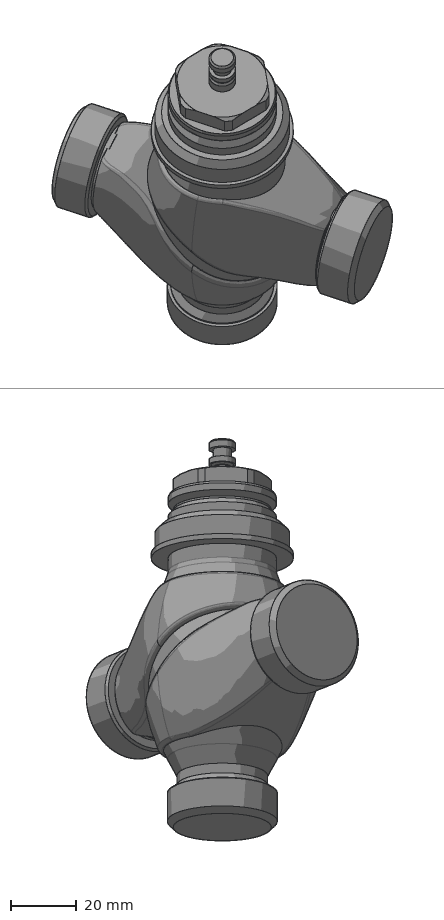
import cadquery as cq
import math


top_z = 72.4
bottom_z = -50.1
port_face_x = 50.0

port_radius = 16.7
port_inner_x = 37.7
port_outer_chamfer = 1.6
port_inner_chamfer = 0.7
port_neck_radius = 13.4

bottom_port_radius = 16.8
bottom_port_top_z = -39.3
bottom_port_chamfer = 1.8
bottom_neck_radius = 13.8

belly_radius = 24.4
belly_half_height = 42.3
groove_depth = 1.6
lobe_flat_z = 25.7
lobe_end_x = 36.8
arm_end_radius = 14.2
lobe_edge_fillet = 1.5
bonnet_radius = 16.5

nut_radius = 20.6
nut_chamfer = 2.1
nut_top_z = 45.3
nut_flange_radius = 21.7
nut_flange_z = (35.3, 36.9)
collar_top_z = 55.2
hex_top_z = 60.5
hex_across_flats = 27.2
hex_corner_radius = 15.1
hex_chamfer = 1.2
hex_chamfer_height = 0.6

stem_radius = 4.0
stem_neck_radius = 2.8
stem_chamfer = 0.6
stem_ring_neck_radius = 2.5

joint_tolerance = 0.002


def turned(points):
    """Solid of revolution about Z from (radius, z) points listed bottom to top."""
    outline = [(0, points[0][1])] + points + [(0, points[-1][1])]
    return cq.Workplane("XZ").polyline(outline).close().revolve(360, (0, 0), (0, 1))


def belly(radius, half_height):
    """Upright ellipsoid cut off at the flat top and bottom of the lobes."""
    half_ellipse = (
        cq.Workplane("XZ")
        .moveTo(0, -half_height)
        .ellipseArc(radius, half_height, -90, 90, startAtCurrent=True)
        .close()
    )
    flats = cq.Workplane("XY").box(2 * belly_radius + 2.5, 2 * belly_radius + 2.5, 2 * lobe_flat_z)
    return half_ellipse.revolve(360, (0, 0), (0, 1)).intersect(flats)


def arm():
    """Loft from the belly section at x = 0 out to the round end by the +X port."""
    stations = [
        (0, 0, belly_radius, belly_half_height),
        (7.4, 3.0, 23.3, 35.5),
        (15.9, 6.1, 20.3, 27.0),
        (25.7, 3.9, 16.9, 22.2),
        (lobe_end_x, 0, arm_end_radius, 15.0),
    ]
    sections = cq.Workplane("YZ")
    last_x = 0
    last_z = 0
    for x, z, half_width, half_height in stations:
        sections = (
            sections.workplane(offset=x - last_x)
            .center(0, z - last_z)
            .ellipse(half_width, half_height)
        )
        last_x = x
        last_z = z
    return sections.loft(combine=True)


def lobe_outline():
    """Side outline of the upper lobe: S-shaped lower edge, flat top, sloping shoulder."""
    s_edge = [(-15.9, 11.9), (-8.1, 8.5), (5.9, -1.1), (18.9, -9.9), (27, -12.4), (lobe_end_x, -13.0)]
    shoulder = [(19.6, 22.7), (29.4, 18.0), (7.4, lobe_flat_z)]
    past_belly_x = -30.6
    return (
        cq.Workplane("XZ", origin=(0, belly_radius + 1.2, 0))
        .moveTo(past_belly_x, 13.5)
        .lineTo(-23.3, 13.5)
        .spline(s_edge, tangents=[(1, 0), (1, 0)], includeCurrent=True)
        .lineTo(lobe_end_x, 13.1)
        .spline([shoulder[1], shoulder[0], shoulder[2]], includeCurrent=True)
        .lineTo(past_belly_x, lobe_flat_z)
        .close()
        .extrude(2 * (belly_radius + 1.2))
    )


def rounded_off(half_lobe):
    """Round the outline edges, leaving the flat joint face and the arm end sharp."""
    edges = [
        edge
        for edge in half_lobe.edges().vals()
        if edge.geomType() != "LINE" and edge.BoundingBox().xlen > 10 * joint_tolerance
    ]
    return half_lobe.newObject(edges).fillet(lobe_edge_fillet)


def upper_lobe():
    """Half belly on the -X side joined to the arm that reaches the +X port."""
    room = 4 * belly_radius
    negative_x = cq.Workplane("XY").box(room, room, room).translate((-room / 2, 0, 0))
    half_belly = belly(belly_radius, belly_half_height).intersect(negative_x).intersect(lobe_outline())
    flared_arm = arm().intersect(lobe_outline())
    return rounded_off(half_belly).union(rounded_off(flared_arm), tol=joint_tolerance)


def side_port():
    """Closed +X port with its short neck."""
    neck_start_x = lobe_end_x - port_inner_chamfer
    neck = cq.Workplane("YZ", origin=(neck_start_x, 0, 0)).circle(port_neck_radius)
    neck = neck.extrude(port_inner_x - neck_start_x)
    port = (
        cq.Workplane("YZ", origin=(port_inner_x, 0, 0))
        .circle(port_radius)
        .extrude(port_face_x - port_inner_x)
        .faces(">X")
        .chamfer(port_outer_chamfer)
        .faces("<X")
        .chamfer(port_inner_chamfer)
    )
    return port.union(neck)


def bottom_port():
    """Closed bottom port, its neck and the cone running up into the lobes."""
    return turned(
        [
            (bottom_port_radius - bottom_port_chamfer, bottom_z),
            (bottom_port_radius, bottom_z + bottom_port_chamfer),
            (bottom_port_radius, bottom_port_top_z),
            (15.8, bottom_port_top_z),
            (15.8, -38.8),
            (bottom_neck_radius, -36.9),
            (bottom_neck_radius, -33.8),
            (16.7, -28.4),
            (19.6, -22.3),
        ]
    )


def bonnet():
    """Cone rising from the lobes, grooved collar and the flanged union nut."""
    collar = turned(
        [
            (19.6, 22.3),
            (17.0, 29.2),
            (bonnet_radius, 30.9),
            (bonnet_radius, 48.5),
            (15.0, 50.2),
            (15.0, 50.8),
            (bonnet_radius, 52.4),
            (bonnet_radius, 54.5),
            (16.2, collar_top_z),
        ]
    )
    nut = turned(
        [
            (nut_flange_radius, nut_flange_z[0]),
            (nut_flange_radius, nut_flange_z[1]),
            (nut_radius, nut_flange_z[1]),
            (nut_radius, nut_top_z - nut_chamfer),
            (nut_radius - nut_chamfer, nut_top_z),
        ]
    )
    return collar.union(nut)


def hexagon():
    """Spanner hexagon with its corners turned off and the top edge chamfered."""
    prism = (
        cq.Workplane("XY", origin=(0, 0, collar_top_z))
        .polygon(6, hex_across_flats / math.cos(math.pi / 6))
        .extrude(hex_top_z - collar_top_z)
    )
    turned_corners = turned(
        [
            (hex_corner_radius, collar_top_z),
            (hex_corner_radius, hex_top_z - hex_chamfer_height),
            (hex_corner_radius - hex_chamfer, hex_top_z),
        ]
    )
    return prism.intersect(turned_corners)


def stem():
    """Stem with a snap ring and a head above two necks."""
    return turned(
        [
            (stem_radius, hex_top_z),
            (stem_radius, 63.3),
            (stem_radius - stem_chamfer, 64.0),
            (stem_ring_neck_radius, 64.0),
            (stem_ring_neck_radius, 64.5),
            (stem_radius - stem_chamfer, 65.0),
            (stem_radius, 65.0),
            (stem_radius, 66.8),
            (stem_neck_radius, 66.8),
            (stem_neck_radius, 69.8),
            (stem_radius, 69.8),
            (stem_radius, top_z - stem_chamfer),
            (stem_radius - stem_chamfer, top_z),
        ]
    )


def turned_about_y(solid):
    return solid.rotate((0, 0, 0), (0, 1, 0), 180)


def group(*parts):
    """Compound of parts that do not touch each other."""
    return cq.Compound.makeCompound([part.val() for part in parts])


lobe = upper_lobe()
groove_floor = belly(belly_radius - groove_depth, belly_half_height - groove_depth)
port = side_port()
upper_fittings = bonnet().union(hexagon()).union(stem())

result = (
    groove_floor.union(group(lobe, turned_about_y(lobe)))
    .union(group(port, turned_about_y(port), bottom_port(), upper_fittings))
)